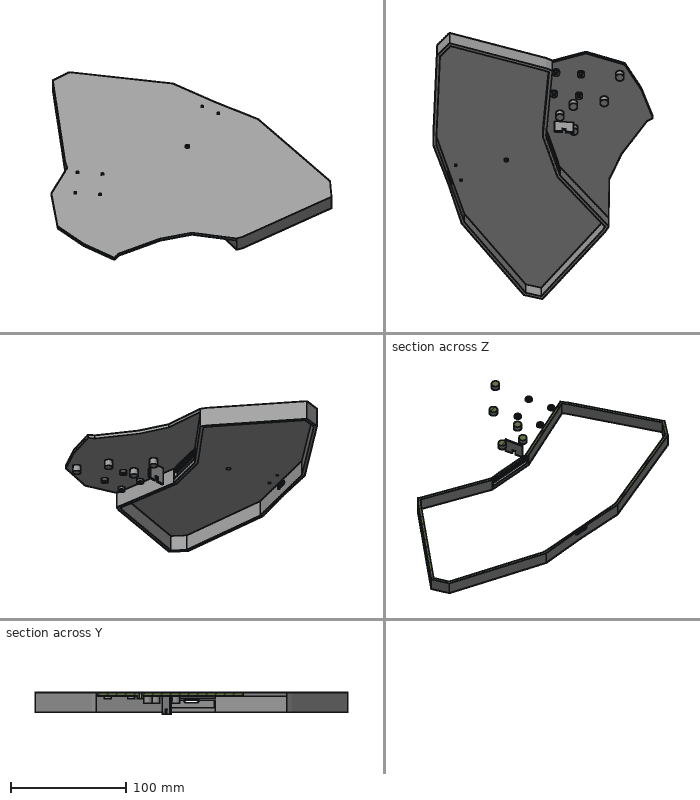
import cadquery as cq
import math

PLATE_T = 3.3
BODY_DEPTH = 17.5
TAB_DEPTH = 19.0
WALL_T = 2.7

BACK_DIP_Y = 93.2
BACK_CORNER = (41.5, 94.0)
SIDE_BACK = (127.2, 63.9)
SIDE_TIP = (136.0, 49.7)
SIDE_FRONT = (86.7, -22.8)
FRONT_CORNER = (82.5, -27.2)
RIGHT_SIDE = [BACK_CORNER, SIDE_BACK, SIDE_TIP, SIDE_FRONT, FRONT_CORNER]
FRONT_WALL_HALF = 20.7
RECESS_ANGLE = 22.0
RECESS_RUN = FRONT_CORNER[0] - FRONT_WALL_HALF
FRONT_WALL_Y = FRONT_CORNER[1] + RECESS_RUN * math.tan(math.radians(RECESS_ANGLE))

EXTENSION = [
    (45.0, -39.5),
    (23.5, -57.5),
    (-1.4, -88.0),
    (-2.7, -93.8),
    (-33.5, -92.7),
    (-61.7, -86.5),
    (-FRONT_CORNER[0], -57.5),
]

WINDOW_HALF = 19.8
WINDOW_TOP = 6.8
WINDOW_BOTTOM = 13.3
LINTEL_STEP = 5.2
LINTEL_FLAT_HALF = 12.5
LINTEL_END_RECESS = 0.5
LINTEL_VEE = 2.2

SLOT_LENGTH = 12.8
SLOT_HEIGHT = 3.5
SLOT_DEPTH = 7.0

CENTRE_HOLE_D = 3.5
CENTRE_HOLE_Y = 40.5
BACK_HOLE_D = 1.85
BACK_HOLE_HALF_PITCH = 8.0
BACK_HOLE_Y = 84.0

BOSS_D = 6.0
BOSS_H = 2.5
BOSS_HOLE_D = 2.1
BOSS_PITCH = 21.7
BOSS_CENTRE = (-58.5, -33.5)

PIN_D = 7.0
PIN_H = 6.0
PINS = [(-54.0, -79.5), (-33.5, -59.0), (-37.8, -32.3), (-31.0, -18.0), (-13.5, -25.3)]

TAB_LENGTH = 16.5
TAB_T = 1.4
TAB_CENTRE = (-21.5, -18.8)
TAB_GAP = 3.0
TAB_GAP_H = 4.3


def mirrored(points):
    """The points reflected in the YZ plane, in reverse order."""
    return [(-x, y) for x, y in reversed(points)]


def boundary(half, front=()):
    """Closed body outline through the back dip, a right half, an optional front part and a left half."""
    return [(0, BACK_DIP_Y), *half, *front, *mirrored(half)]


def prism(points, top_depth, bottom_depth):
    """Upright prism between two depths below the top face."""
    height = bottom_depth - top_depth
    return cq.Workplane("XY", origin=(0, 0, -bottom_depth)).polyline(points).close().extrude(height)


def pegs(points, diameter, height):
    """Round pegs hanging from the underside of the plate, rooted in it."""
    base = cq.Workplane("XY", origin=(0, 0, -PLATE_T - height))
    return base.pushPoints(points).circle(diameter / 2).extrude(height + PLATE_T / 2)


def drills(points, diameter, depth):
    """Round cutters reaching down from the top face."""
    base = cq.Workplane("XY", origin=(0, 0, -depth))
    return base.pushPoints(points).circle(diameter / 2).extrude(depth)


def make_plate():
    return prism(boundary(RIGHT_SIDE, EXTENSION), 0, PLATE_T)


def make_skirt():
    """Wall ring below the plate, open at the bottom, with a flat inner face along the back."""
    half = RIGHT_SIDE + [(FRONT_WALL_HALF, FRONT_WALL_Y)]
    straight_back = half + mirrored(half)
    base = cq.Workplane("XY", origin=(0, 0, -BODY_DEPTH)).polyline(straight_back).close()
    cavity = base.offset2D(-WALL_T, "intersection").extrude(BODY_DEPTH)
    return prism(boundary(half), 0, BODY_DEPTH).cut(cavity)


def make_window():
    """Cutters for the opening in the front wall and the two recessed bands of the lintel above it."""
    opening = cq.Workplane("XY").box(2 * WINDOW_HALF, 3 * WALL_T, WINDOW_BOTTOM - WINDOW_TOP)
    opening = opening.translate((0, FRONT_WALL_Y, -(WINDOW_TOP + WINDOW_BOTTOM) / 2))
    vee_points = [
        (-FRONT_WALL_HALF, FRONT_WALL_Y),
        (FRONT_WALL_HALF, FRONT_WALL_Y),
        (0, FRONT_WALL_Y + LINTEL_VEE),
    ]
    vee = prism(vee_points, LINTEL_STEP, WINDOW_TOP)
    cutter = opening.union(vee)
    for side in (-1, 1):
        flat_end = (side * LINTEL_FLAT_HALF, FRONT_WALL_Y)
        wall_end = (side * FRONT_WALL_HALF, FRONT_WALL_Y)
        recess_end = (side * FRONT_WALL_HALF, FRONT_WALL_Y + LINTEL_END_RECESS)
        cutter = cutter.union(prism([flat_end, wall_end, recess_end], PLATE_T, LINTEL_STEP))
    return cutter


def make_back_slot():
    """Cutter through the back wall, starting at its outer face."""
    plane = cq.Workplane("XZ", origin=(0, BACK_CORNER[1], -SLOT_DEPTH))
    return plane.slot2D(SLOT_LENGTH, SLOT_HEIGHT).extrude(2 * WALL_T)


def make_tab():
    """Upright split tab square to the left recess wall of the body front."""
    height = TAB_DEPTH - PLATE_T / 2
    tab = cq.Workplane("XY").box(TAB_T, TAB_LENGTH, height, centered=(True, True, False))
    gap = cq.Workplane("XY").box(2 * TAB_T, TAB_GAP, TAB_GAP_H, centered=(True, True, False))
    tab = tab.cut(gap).rotate((0, 0, 0), (0, 0, 1), RECESS_ANGLE)
    return tab.translate((*TAB_CENTRE, -TAB_DEPTH))


def boss_points():
    """Corners of the boss square, turned to the same angle as the recess walls."""
    radius = BOSS_PITCH / math.sqrt(2)
    angles = [math.radians(RECESS_ANGLE + 45 + 90 * i) for i in range(4)]
    x, y = BOSS_CENTRE
    return [(x + radius * math.cos(a), y + radius * math.sin(a)) for a in angles]


skirt = make_skirt().cut(make_window()).cut(make_back_slot())
bosses = boss_points()

result = make_plate().union(skirt).union(make_tab())
result = result.union(pegs(PINS, PIN_D, PIN_H)).union(pegs(bosses, BOSS_D, BOSS_H))
result = result.cut(drills(bosses, BOSS_HOLE_D, PLATE_T + BOSS_H))
result = result.cut(drills([(0, CENTRE_HOLE_Y)], CENTRE_HOLE_D, PLATE_T))
back_holes = [(-BACK_HOLE_HALF_PITCH, BACK_HOLE_Y), (BACK_HOLE_HALF_PITCH, BACK_HOLE_Y)]
result = result.cut(drills(back_holes, BACK_HOLE_D, PLATE_T))